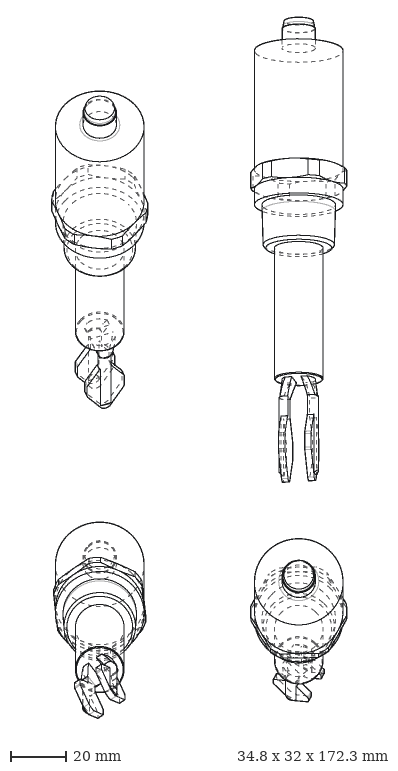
import cadquery as cq
import math

total_height = 172.3
connector_step_z = 169.5
connector_base_z = 162.1
body_top_z = 161.3
hex_top_z = 116.6
hex_bottom_z = 109.4
collar_bottom_z = 103.5
taper_top_z = 101.1
taper_bottom_z = 88.5
thread_bottom_z = 87.4
stem_bottom_z = 38.0

connector_tip_radius = 5.7
connector_tip_inset = 0.3
connector_tip_taper_height = 1.7
connector_radius = 6.0
cap_inner_radius = 7.2
body_radius = 16.0
thread_top_radius = 13.3
thread_bottom_radius = 13.0
thread_end_radius = 11.9
stem_radius = 8.8
stem_chamfer = 0.3

hex_across_flats = 2 * body_radius
hex_corner_radius = 17.4
hex_chamfer_height = 0.7

tine_inner_x = 3.6
tine_outer_x = 7.2
blade_thickness = 2.4
blade_outer_x = tine_inner_x + blade_thickness
rod_radius = 2.4
rod_center_x = tine_outer_x - rod_radius
rod_end_inner_z = 2.4
rod_end_outer_z = 3.8
blade_half_width = 7.2
blade_lower_shoulder_z = 10.2
blade_upper_shoulder_z = 16.2
blade_neck_z = 24.1
blade_shoulder_radius = 1.7
tip_half_width = 1.7
tip_round_height = 0.9

arm_bottom_z = 31.5
arm_top_half_width = 4.5
arm_top_inner_x = 1.7
arm_mid_inner_x = 2.8
arm_bottom_outer_radius = 6.9
arm_top_outer_radius = 6.0


def make_turned_body():
    profile = [
        (0, stem_bottom_z),
        (stem_radius - stem_chamfer, stem_bottom_z),
        (stem_radius, stem_bottom_z + stem_chamfer),
        (stem_radius, thread_bottom_z),
        (thread_end_radius, thread_bottom_z),
        (thread_bottom_radius, taper_bottom_z),
        (thread_top_radius, taper_top_z),
        (thread_top_radius, collar_bottom_z),
        (body_radius, collar_bottom_z),
        (body_radius, body_top_z),
        (cap_inner_radius, connector_base_z),
        (connector_radius, connector_base_z),
        (connector_radius, connector_step_z),
        (connector_tip_radius, connector_step_z),
        (connector_tip_radius, total_height - connector_tip_taper_height),
        (connector_tip_radius - connector_tip_inset, total_height),
        (0, total_height),
    ]
    return cq.Workplane("XZ").polyline(profile).close().revolve(360, (0, 0), (0, 1))


def make_hexagon():
    corner_diameter = hex_across_flats / math.cos(math.pi / 6)
    height = hex_top_z - hex_bottom_z
    prism = cq.Workplane("XY", origin=(0, 0, hex_bottom_z)).polygon(6, corner_diameter).extrude(height)
    disc_profile = [
        (0, hex_bottom_z),
        (body_radius, hex_bottom_z),
        (hex_corner_radius, hex_bottom_z + hex_chamfer_height),
        (hex_corner_radius, hex_top_z - hex_chamfer_height),
        (body_radius, hex_top_z),
        (0, hex_top_z),
    ]
    disc = cq.Workplane("XZ").polyline(disc_profile).close().revolve(360, (0, 0), (0, 1))
    return prism.intersect(disc)


def make_blade():
    blade = (
        cq.Workplane("YZ", origin=(tine_inner_x, 0, 0))
        .moveTo(tip_half_width, tip_round_height)
        .lineTo(blade_half_width, blade_lower_shoulder_z)
        .lineTo(blade_half_width, blade_upper_shoulder_z)
        .lineTo(rod_radius, blade_neck_z)
        .lineTo(-rod_radius, blade_neck_z)
        .lineTo(-blade_half_width, blade_upper_shoulder_z)
        .lineTo(-blade_half_width, blade_lower_shoulder_z)
        .lineTo(-tip_half_width, tip_round_height)
        .threePointArc((0, 0), (tip_half_width, tip_round_height))
        .close()
        .extrude(blade_thickness)
    )
    shoulders = cq.selectors.BoxSelector(
        (0, -2 * blade_half_width, blade_lower_shoulder_z - blade_shoulder_radius),
        (tine_outer_x, 2 * blade_half_width, blade_upper_shoulder_z + blade_shoulder_radius),
    )
    return blade.edges("|X").edges(shoulders).fillet(blade_shoulder_radius)


def make_rod():
    rod = (
        cq.Workplane("XY", origin=(rod_center_x, 0, 0))
        .circle(rod_radius)
        .extrude(arm_bottom_z)
    )
    envelope = (
        cq.Workplane("XZ")
        .polyline([
            (tine_inner_x, rod_end_inner_z),
            (blade_outer_x, rod_end_inner_z),
            (tine_outer_x, rod_end_outer_z),
            (tine_outer_x, arm_bottom_z),
            (tine_inner_x, arm_bottom_z),
        ])
        .close()
        .extrude(rod_radius, both=True)
    )
    return rod.intersect(envelope)


def make_arm():
    arm_mid_z = (arm_bottom_z + stem_bottom_z) / 2
    curved_block = (
        cq.Workplane("XZ")
        .moveTo(tine_inner_x, arm_bottom_z)
        .threePointArc((arm_mid_inner_x, arm_mid_z), (arm_top_inner_x, stem_bottom_z))
        .lineTo(tine_outer_x, stem_bottom_z)
        .lineTo(tine_outer_x, arm_bottom_z)
        .close()
        .extrude(arm_top_half_width, both=True)
    )
    flare = (
        cq.Workplane("YZ")
        .polyline([
            (-rod_radius, arm_bottom_z),
            (rod_radius, arm_bottom_z),
            (arm_top_half_width, stem_bottom_z),
            (-arm_top_half_width, stem_bottom_z),
        ])
        .close()
        .extrude(tine_outer_x)
    )
    outer_cone = (
        cq.Workplane("XZ")
        .polyline([
            (0, arm_bottom_z),
            (arm_bottom_outer_radius, arm_bottom_z),
            (arm_top_outer_radius, stem_bottom_z),
            (0, stem_bottom_z),
        ])
        .close()
        .revolve(360, (0, 0), (0, 1))
    )
    return curved_block.intersect(flare).intersect(outer_cone)


tine = make_blade().union(make_rod()).union(make_arm())
result = make_turned_body().union(make_hexagon()).union(tine).union(tine.mirror("YZ"))